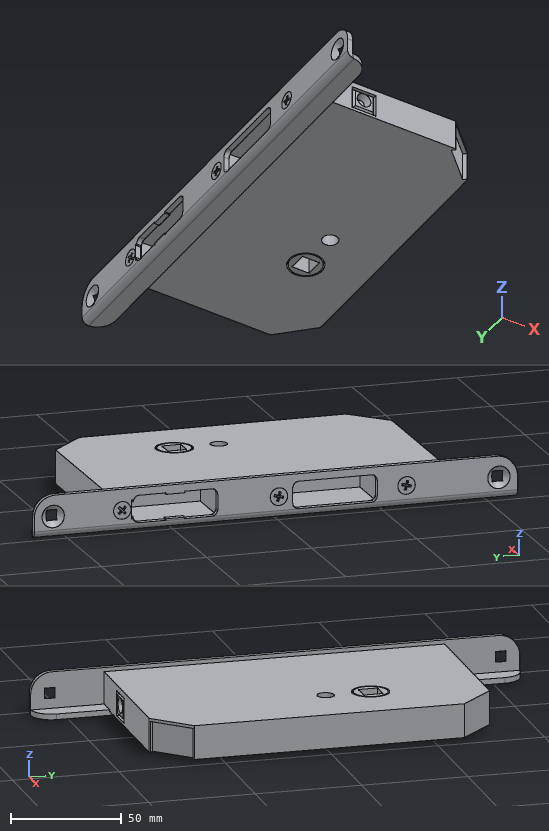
import cadquery as cq
import math

PLATE_LENGTH = 230.0
PLATE_HEIGHT = 20.0
PLATE_THICKNESS = 2.8
FLANGE_REACH = 12.0
BEND_RADIUS = 3.5
FLANGE_CORNER_RADIUS = 9.7

CASE_REAR = 95.0
CASE_TOP_END = 79.5
CASE_BOTTOM_END = -80.5
CASE_HEIGHT = 16.0
CORNER_CHAMFER = 16.5

WINDOW_WIDTH = 40.2
WINDOW_HEIGHT = 12.9
WINDOW_CORNER_RADIUS = 3.0
UPPER_WINDOW_Y = 47.8
LOWER_WINDOW_Y = -28.0
WAIST_WIDTH = 9.0
WAIST_INSET = 0.7
WINDOW_RELIEF = 0.7
WINDOW_RELIEF_HEIGHT = 9.0
POCKET_DEPTH = 23.0

MOUNT_HOLE_Y = 106.0
MOUNT_HOLE_SIDE = 4.8
MOUNT_SINK_DIAMETER = 10.5

SCREW_PLACES = [(73.1, 45), (-1.4, 15), (-62.0, 15)]
SCREW_HEAD_DIAMETER = 8.3
SCREW_SHANK_DIAMETER = 4.0
SCREW_LENGTH = 13.8
CROSS_SPAN = 4.4
CROSS_SLOT_WIDTH = 1.0
CROSS_DEPTH = 1.4

SPINDLE_X = 65.0
FOLLOWER_Y = 27.4
FOLLOWER_DIAMETER = 15.9
FOLLOWER_BORE_DIAMETER = 17.2
SPINDLE_SIDE = 9.0
ROUND_HOLE_Y = 6.2
ROUND_HOLE_DIAMETER = 7.8

SOCKET_X = 30.0
SOCKET_Z = -0.7
SOCKET_WIDTH = 12.5
SOCKET_HEIGHT = 11.7
SOCKET_DEPTH = 7.0
BLOCK_GAP = 0.5
BLOCK_BEVEL = 1.2
BLOCK_HOLE_MOUTH = 7.1
BLOCK_HOLE_FLOOR = 4.4
BLOCK_HOLE_DEPTH = 3.5

RECESS_MARGIN = 0.7
RECESS_TOP = 6.7
RECESS_DEPTH = 2.0

CASE_BASE = -CASE_HEIGHT / 2
PLATE_BASE = -PLATE_HEIGHT / 2


def box(x_range, y_range, z_range):
    """Box between two limits on each axis."""
    size = [high - low for low, high in (x_range, y_range, z_range)]
    return cq.Workplane("XY").box(*size, centered=False).translate((x_range[0], y_range[0], z_range[0]))


def cone_along_x(front_diameter, rear_diameter, depth, y):
    """Solid cone that starts on X = 0 and narrows toward +X."""
    cone = cq.Solid.makeCone(
        front_diameter / 2, rear_diameter / 2, depth, cq.Vector(0, y, 0), cq.Vector(1, 0, 0)
    )
    return cq.Workplane(obj=cone)


def pocket_prism(y, depth):
    """Square-cornered prism of the window size, from X = 0 to the given depth."""
    return box(
        (0, depth),
        (y - WINDOW_WIDTH / 2, y + WINDOW_WIDTH / 2),
        (-WINDOW_HEIGHT / 2, WINDOW_HEIGHT / 2),
    )


def window_prism(y):
    """Rounded cutter for one window in the plate."""
    return pocket_prism(y, PLATE_THICKNESS).edges("|X").fillet(WINDOW_CORNER_RADIUS)


def waisted_window_prism(y):
    """Window cutter whose long sides step inward at mid-length."""
    waist = (y - WAIST_WIDTH / 2, y + WAIST_WIDTH / 2)
    edge = WINDOW_HEIGHT / 2
    inner = edge - WAIST_INSET
    prism = window_prism(y)
    for z_range in ((inner, edge), (-edge, -inner)):
        prism = prism.cut(box((0, PLATE_THICKNESS), waist, z_range))
    return prism


def screw_blank(y):
    """Countersunk screw without its cross recess; also the cutter for its hole."""
    head = cone_along_x(SCREW_HEAD_DIAMETER, SCREW_SHANK_DIAMETER, PLATE_THICKNESS, y)
    shank = cq.Workplane("YZ").center(y, 0).circle(SCREW_SHANK_DIAMETER / 2).extrude(SCREW_LENGTH)
    return head.union(shank)


def make_screw(y, turn):
    screw = screw_blank(y)
    for angle in (turn, turn + 90):
        slot = cq.Workplane("YZ").rect(CROSS_SPAN, CROSS_SLOT_WIDTH).extrude(CROSS_DEPTH)
        screw = screw.cut(slot.rotate((0, 0, 0), (1, 0, 0), angle).translate((0, y, 0)))
    return screw


def make_faceplate():
    ends = (-PLATE_LENGTH / 2, PLATE_LENGTH / 2)
    front = box((0, PLATE_THICKNESS), ends, (PLATE_BASE, PLATE_HEIGHT / 2))
    front = front.edges("|X and >Z").fillet(PLATE_HEIGHT / 2)
    flange = box((0, FLANGE_REACH), ends, (PLATE_BASE, PLATE_BASE + PLATE_THICKNESS))
    flange = flange.edges("|Z and >X").fillet(FLANGE_CORNER_RADIUS)
    plate = front.union(flange).edges("|Y and <X and <Z").fillet(BEND_RADIUS)

    plate = plate.cut(waisted_window_prism(UPPER_WINDOW_Y))
    plate = plate.cut(window_prism(LOWER_WINDOW_Y))
    window_end = UPPER_WINDOW_Y + WINDOW_WIDTH / 2
    relief_half = WINDOW_RELIEF_HEIGHT / 2
    plate = plate.cut(
        box((0, PLATE_THICKNESS), (window_end, window_end + WINDOW_RELIEF), (-relief_half, relief_half))
    )

    for y in (-MOUNT_HOLE_Y, MOUNT_HOLE_Y):
        plate = plate.cut(cone_along_x(MOUNT_SINK_DIAMETER, MOUNT_HOLE_SIDE, PLATE_THICKNESS, y))
        hole = cq.Workplane("YZ").center(y, 0).rect(MOUNT_HOLE_SIDE, MOUNT_HOLE_SIDE)
        plate = plate.cut(hole.extrude(PLATE_THICKNESS))
    for y, _ in SCREW_PLACES:
        plate = plate.cut(screw_blank(y))
    return plate


def chamfer_recess():
    """Cutter parallel to the -Y rear chamfer."""
    length = CORNER_CHAMFER * math.sqrt(2) - 2 * RECESS_MARGIN
    cutter = box((-length / 2, length / 2), (-RECESS_DEPTH, RECESS_DEPTH), (CASE_BASE, RECESS_TOP))
    middle = (CASE_REAR - CORNER_CHAMFER / 2, CASE_BOTTOM_END + CORNER_CHAMFER / 2, 0)
    return cutter.rotate((0, 0, 0), (0, 0, 1), 45).translate(middle)


def socket_prism(inset):
    """Prism that fills the side socket, shrunk all round by the inset."""
    half_width = SOCKET_WIDTH / 2 - inset
    half_height = SOCKET_HEIGHT / 2 - inset
    return box(
        (SOCKET_X - half_width, SOCKET_X + half_width),
        (CASE_BOTTOM_END, CASE_BOTTOM_END + SOCKET_DEPTH),
        (SOCKET_Z - half_height, SOCKET_Z + half_height),
    )


def upright_cylinder(y, diameter):
    """Full-height cylinder on the spindle line."""
    base = cq.Workplane("XY").workplane(offset=CASE_BASE).center(SPINDLE_X, y)
    return base.circle(diameter / 2).extrude(CASE_HEIGHT)


def make_case():
    case = box(
        (PLATE_THICKNESS, CASE_REAR), (CASE_BOTTOM_END, CASE_TOP_END), (CASE_BASE, -CASE_BASE)
    )
    case = case.edges("|Z and >X").chamfer(CORNER_CHAMFER)

    flange_top = PLATE_BASE + PLATE_THICKNESS
    case = case.cut(
        box((PLATE_THICKNESS, FLANGE_REACH), (CASE_BOTTOM_END, CASE_TOP_END), (CASE_BASE, flange_top))
    )

    pocket_end = PLATE_THICKNESS + POCKET_DEPTH
    for y in (UPPER_WINDOW_Y, LOWER_WINDOW_Y):
        case = case.cut(pocket_prism(y, pocket_end))
    for y, _ in SCREW_PLACES:
        case = case.cut(screw_blank(y))

    case = case.cut(upright_cylinder(FOLLOWER_Y, FOLLOWER_BORE_DIAMETER))
    case = case.cut(upright_cylinder(ROUND_HOLE_Y, ROUND_HOLE_DIAMETER))
    case = case.cut(socket_prism(0))
    return case.cut(chamfer_recess())


def make_follower():
    follower = upright_cylinder(FOLLOWER_Y, FOLLOWER_DIAMETER)
    spindle = cq.Workplane("XY").workplane(offset=CASE_BASE).center(SPINDLE_X, FOLLOWER_Y)
    return follower.cut(spindle.rect(SPINDLE_SIDE, SPINDLE_SIDE).extrude(CASE_HEIGHT))


def make_socket_block():
    """Block that stands on the socket floor with a tapered blind hole in its front."""
    block = socket_prism(BLOCK_GAP).faces("<Y").edges().chamfer(BLOCK_BEVEL)
    taper = cq.Solid.makeCone(
        BLOCK_HOLE_MOUTH / 2,
        BLOCK_HOLE_FLOOR / 2,
        BLOCK_HOLE_DEPTH,
        cq.Vector(SOCKET_X, CASE_BOTTOM_END, 0),
        cq.Vector(0, 1, 0),
    )
    return block.cut(cq.Workplane(obj=taper))


faceplate = make_faceplate()
case = make_case()
follower = make_follower()
socket_block = make_socket_block()
screws = [make_screw(y, turn) for y, turn in SCREW_PLACES]

result = cq.Compound.makeCompound([
    faceplate.val(),
    case.val(),
    follower.val(),
    socket_block.val(),
    *[screw.val() for screw in screws],
])